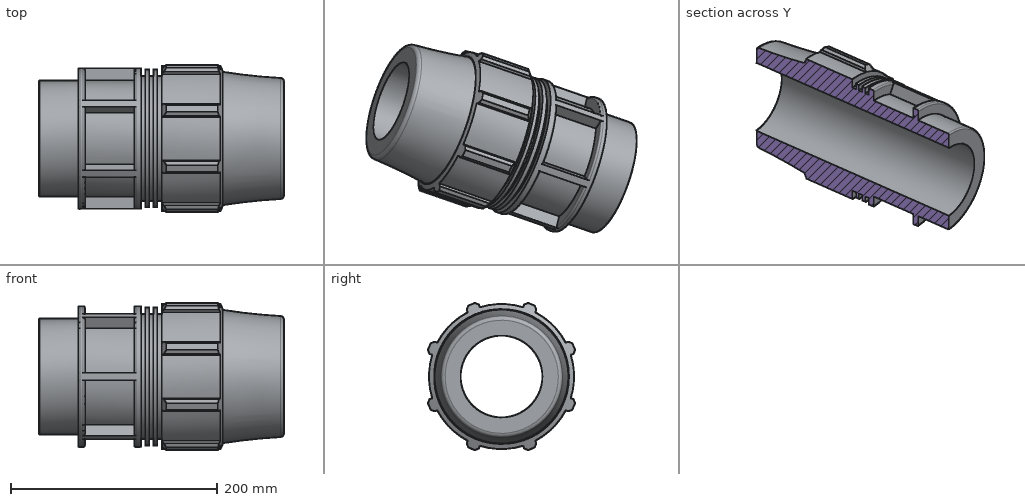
import cadquery as cq

total_length = 238.0
bore_radius = 79.12 / 2

spigot_radius = 113.03 / 2
collar_radius = 136.8 / 2
collar_start = 38.0
window_start = 44.8
window_end = 92.5
collar_end = 99.3
edge_round = 1.5
window_round_front = 2.0
window_round_back = 1.5
web_count = 6
web_thickness = 7.4

neck_radius = 121.6 / 2
ring_radius = 134.06 / 2
ring_spans = [(103.0, 107.3), (111.2, 115.0)]

nut_radius = 70.5
nut_start = 119.3
nut_chamfer_start = 176.2
nut_end = 178.5
nut_end_radius = 65.6
rib_count = 8
rib_top = 75.95
rib_width = 13.0
rib_chamfer = 3.0
rib_sink = 5.0
rib_root = nut_radius - rib_sink
rib_lead_in = 4.4

taper_start_radius = 64.8
taper_middle_x = 202.0
taper_middle_radius = 61.6
taper_end_radius = 58.7
outlet_round = 4.0


def cylinder(start, end, radius):
    """Solid cylinder along X between two stations."""
    return cq.Workplane("YZ", origin=(start, 0, 0)).circle(radius).extrude(end - start)


def revolve_about_x(profile):
    """Turn a closed XY profile around the X axis."""
    return profile.revolve(360, (0, 0, 0), (1, 0, 0))


def make_spigot():
    spigot = cylinder(0, collar_end, spigot_radius)
    return spigot.faces("<X").edges().fillet(edge_round)


def make_collar():
    """Two flanges joined by radial webs, leaving open windows between the webs."""
    collar = cylinder(collar_start, collar_end, collar_radius)
    collar = collar.faces("<X").edges().fillet(edge_round)

    front_flange = cylinder(collar_start, window_start, collar_radius)
    front_flange = front_flange.faces("<X").edges().fillet(edge_round)
    front_flange = front_flange.faces(">X").edges().fillet(window_round_front)
    back_flange = cylinder(window_end, collar_end, collar_radius)
    back_flange = back_flange.faces("<X").edges().fillet(window_round_back)

    flanges = front_flange.union(back_flange)
    for index in range(web_count // 2):
        web_pair = cq.Workplane("XY").box(
            collar_end - collar_start, 2 * collar_radius, web_thickness, centered=(False, True, True)
        )
        web_pair = web_pair.translate((collar_start, 0, 0))
        web_pair = web_pair.rotate((0, 0, 0), (1, 0, 0), index * 360 / web_count)
        flanges = flanges.union(web_pair.intersect(collar))
    return flanges


def make_neck():
    neck = cylinder(collar_end, nut_start, neck_radius)
    for start, end in ring_spans:
        neck = neck.union(cylinder(start, end, ring_radius))
    return neck


def make_rib():
    """One grip rib on +Z: a bar with chamfered top edges and a sloped front end."""
    half_width = rib_width / 2
    half_top = half_width - rib_chamfer
    shoulder = rib_top - rib_chamfer
    bar = (
        cq.Workplane("YZ", origin=(nut_start, 0, 0))
        .polyline(
            [
                (-half_width, rib_root),
                (-half_width, shoulder),
                (-half_top, rib_top),
                (half_top, rib_top),
                (half_width, shoulder),
                (half_width, rib_root),
            ]
        )
        .close()
        .extrude(nut_end - nut_start)
    )
    front_slope = (
        cq.Workplane("XZ")
        .polyline(
            [
                (nut_start, nut_radius),
                (nut_start, rib_top),
                (nut_start + rib_lead_in, rib_top),
            ]
        )
        .close()
        .extrude(rib_width, both=True)
    )
    return bar.cut(front_slope)


def make_nut():
    """Ribbed nut whose back chamfer runs on across the rib ends."""
    nut = cylinder(nut_start, nut_end, nut_radius)
    rib = make_rib()
    rib_pitch = 360 / rib_count
    for index in range(rib_count):
        rib_angle = (index + 0.5) * rib_pitch
        nut = nut.union(rib.rotate((0, 0, 0), (1, 0, 0), rib_angle))

    chamfer_slope = (nut_end - nut_chamfer_start) / (nut_radius - nut_end_radius)
    clear_radius = rib_top + rib_chamfer
    waste_end = nut_end + rib_chamfer
    chamfer_top_x = nut_chamfer_start - (clear_radius - nut_radius) * chamfer_slope
    chamfer_waste = (
        cq.Workplane("XY")
        .polyline(
            [
                (nut_end, nut_end_radius),
                (chamfer_top_x, clear_radius),
                (waste_end, clear_radius),
                (waste_end, nut_end_radius),
            ]
        )
        .close()
    )
    return nut.cut(revolve_about_x(chamfer_waste))


def make_outlet():
    profile = (
        cq.Workplane("XY")
        .moveTo(nut_end, 0)
        .lineTo(nut_end, taper_start_radius)
        .threePointArc((taper_middle_x, taper_middle_radius), (total_length, taper_end_radius))
        .lineTo(total_length, 0)
        .close()
    )
    return revolve_about_x(profile).faces(">X").edges().fillet(outlet_round)


body = make_spigot().union(make_collar()).union(make_neck()).union(make_nut()).union(make_outlet())

result = body.cut(cylinder(0, total_length, bore_radius))